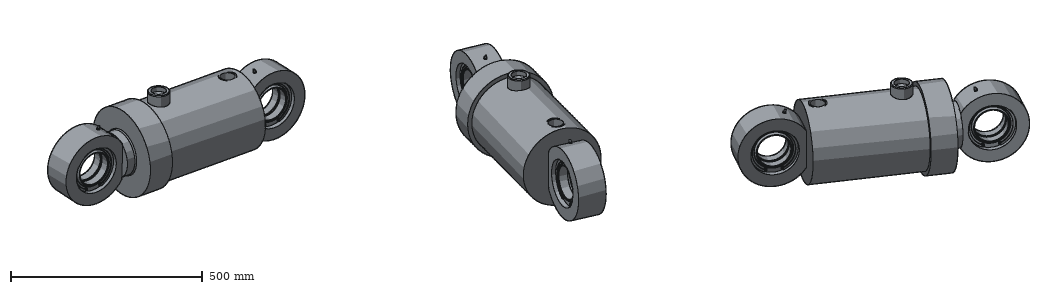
import cadquery as cq
import math


eye_diameter = 200.0
eye_radius = eye_diameter / 2
eye_width = 80.0
eye_flat_offset = 85.0
eye_bore = 130.0
pin_spacing = 585.0
rod_roll = 1.2

barrel_diameter = 225.0
barrel_front = 399.5
flange_diameter = 250.0
flange_length = 72.0
flange_front = barrel_front + flange_length
lip_diameter = 130.0
lip_length = 4.0

rod_diameter = 125.0
rod_front = pin_spacing - eye_flat_offset
rod_back = barrel_front

port_diameter = 40.0
port_tip_angle = 118
front_port_offset = 350.0
front_port_depth = 13.0
rear_port_offset = 124.0
rear_port_depth = 31.5
spotface_diameter = 49.0
spotface_depth = 1.5
boss_diameter = 60.0
boss_top = 143.0
boss_chamfer = 2.0

nipple_tilt = 20
nipple_hex = 9.0
nipple_hex_height = 3.0
nipple_cone_base = 7.15
nipple_cone_tip = 4.0
nipple_cone_height = 7.0
nipple_root = 4.0

bearing_bore = 90.0
bearing_ball = 114.0
inner_ring_width = 60.0
outer_ring_width = 50.0
inner_ring_chamfer = 1.5
race_chamfer = 2.0
oil_groove_width = 5.5
oil_groove_depth = 1.5

retainer_inner = 117.0
retainer_drop = 1.2
retainer_thickness = 3.0
lug_angle = 23
lug_circle_radius = 60.0
lug_diameter = 9.0
lug_hole = 4.0


def cylinder_along_y(diameter, front, back):
    """Cylinder between two distances in front of the rear eye centre."""
    circle = cq.Workplane("XZ", origin=(0, -back, 0)).circle(diameter / 2)
    return circle.extrude(front - back)


def cylinder_along_x(diameter, width):
    return cq.Workplane("YZ").circle(diameter / 2).extrude(width / 2, both=True)


def make_nipple():
    """Vertical grease nipple standing on a surface at eye_radius."""
    hex_top = eye_radius + nipple_hex_height
    tip = hex_top + nipple_cone_height
    profile = [
        (0, eye_radius - nipple_root),
        (nipple_hex / 2, eye_radius - nipple_root),
        (nipple_hex / 2, hex_top),
        (nipple_cone_base / 2, hex_top),
        (nipple_cone_tip / 2, tip),
        (0, tip),
    ]
    return cq.Workplane("XZ").polyline(profile).close().revolve(360, (0, 0), (0, 1))


def make_eye():
    """Eye around the origin, cut flat on its -Y side where it meets its cylinder."""
    body_length = eye_radius + eye_flat_offset
    body_centre = (eye_radius - eye_flat_offset) / 2
    envelope = cq.Workplane("XY").box(eye_width, body_length, eye_diameter).translate((0, body_centre, 0))
    eye = cylinder_along_x(eye_diameter, eye_width).intersect(envelope)
    nipple = make_nipple().rotate((0, 0, 0), (1, 0, 0), nipple_tilt)
    return eye.union(nipple).cut(cylinder_along_x(eye_bore, eye_width))


def place_at_rod_end(body):
    """Turn a body made for the rear eye round to the rod eye."""
    turned = body.rotate((0, 0, 0), (0, 0, 1), 180).translate((0, -pin_spacing, 0))
    return turned.rotate((0, 0, 0), (0, 1, 0), rod_roll)


def make_port_drill(offset, top, depth):
    """Drilled hole of the given depth below top, with a conical end."""
    radius = port_diameter / 2
    floor = top - depth
    tip = floor - radius / math.tan(math.radians(port_tip_angle / 2))
    profile = [(0, top), (radius, top), (radius, floor), (0, tip)]
    drill = cq.Workplane("XZ").polyline(profile).close().revolve(360, (0, 0), (0, 1))
    return drill.translate((0, -offset, 0))


def make_lip():
    """Tapered lip on the flange face, narrowing to the rod surface."""
    profile = [
        (0, -flange_front),
        (lip_diameter / 2, -flange_front),
        (rod_diameter / 2, -flange_front - lip_length),
        (0, -flange_front - lip_length),
    ]
    return cq.Workplane("XY").polyline(profile).close().revolve(360, (0, 0), (0, 1))


def make_boss():
    boss = cq.Workplane("XY", origin=(0, -front_port_offset, 0)).circle(boss_diameter / 2).extrude(boss_top)
    return boss.faces(">Z").chamfer(boss_chamfer)


def make_housing():
    barrel_radius = barrel_diameter / 2
    housing = cylinder_along_y(barrel_diameter, barrel_front, eye_flat_offset)
    housing = housing.union(cylinder_along_y(flange_diameter, flange_front, barrel_front))
    housing = housing.union(make_lip()).union(make_boss()).union(make_eye())

    spotface = cq.Workplane("XY", origin=(0, -rear_port_offset, barrel_radius - spotface_depth))
    housing = housing.cut(spotface.circle(spotface_diameter / 2).extrude(2 * spotface_depth))
    housing = housing.cut(make_port_drill(front_port_offset, boss_top, front_port_depth))
    housing = housing.cut(make_port_drill(rear_port_offset, barrel_radius, rear_port_depth))

    rod_seat = cylinder_along_y(rod_diameter, flange_front + lip_length, rod_back)
    return housing.cut(rod_seat)


def make_rod():
    return cylinder_along_y(rod_diameter, rod_front, rod_back).union(place_at_rod_end(make_eye()))


def make_retainer():
    """Open retaining ring against the +X side of the outer ring, with a pierced lug at each end."""
    outer_radius = eye_bore / 2
    lug_slope = math.radians(lug_angle)
    lug_y = lug_circle_radius * math.sin(lug_slope)
    lug_z = -lug_circle_radius * math.cos(lug_slope)
    lug_places = [(-lug_y, lug_z), (lug_y, lug_z)]
    plane = cq.Workplane("YZ", origin=(outer_ring_width / 2, 0, 0))

    opening = plane.center(0, -retainer_drop).circle(retainer_inner / 2).extrude(retainer_thickness)
    ring = plane.circle(outer_radius).extrude(retainer_thickness).cut(opening)

    gap_depth = 2 * outer_radius
    gap_half_width = gap_depth * math.tan(lug_slope)
    gap_corners = [(0, 0), (gap_half_width, -gap_depth), (-gap_half_width, -gap_depth)]
    ring = ring.cut(plane.polyline(gap_corners).close().extrude(retainer_thickness))

    lugs = plane.pushPoints(lug_places).circle(lug_diameter / 2).extrude(retainer_thickness)
    lug_holes = plane.pushPoints(lug_places).circle(lug_hole / 2).extrude(retainer_thickness)
    return ring.union(lugs).cut(lug_holes)


def make_bearing():
    """Spherical plain bearing around X, with its two retaining rings."""
    half_inner = inner_ring_width / 2
    half_outer = outer_ring_width / 2
    race_edge = half_outer - race_chamfer
    half_groove = oil_groove_width / 2
    ball_radius = bearing_ball / 2
    bore_radius = bearing_bore / 2
    groove_radius = bore_radius + oil_groove_depth
    side_radius = eye_bore / 2

    def ball_point(x):
        return x, math.sqrt(ball_radius**2 - x**2)

    race_mouth_radius = ball_point(half_outer)[1] + race_chamfer
    half_profile = (
        cq.Workplane("XY")
        .moveTo(0, groove_radius)
        .lineTo(half_groove, groove_radius)
        .lineTo(half_groove, bore_radius)
        .lineTo(half_inner - inner_ring_chamfer, bore_radius)
        .lineTo(half_inner, bore_radius + inner_ring_chamfer)
        .lineTo(*ball_point(half_inner))
        .threePointArc(ball_point((half_inner + race_edge) / 2), ball_point(race_edge))
        .lineTo(half_outer, race_mouth_radius)
        .lineTo(half_outer, side_radius)
        .lineTo(0, side_radius)
    )
    bearing = half_profile.mirrorY().revolve(360, (0, 0), (1, 0))
    retainer = make_retainer()
    return bearing.union(retainer).union(retainer.mirror("YZ"))


housing = make_housing()
rod = make_rod()
rear_bearing = make_bearing()
rod_bearing = place_at_rod_end(make_bearing())

result = cq.Compound.makeCompound([housing.val(), rod.val(), rear_bearing.val(), rod_bearing.val()])